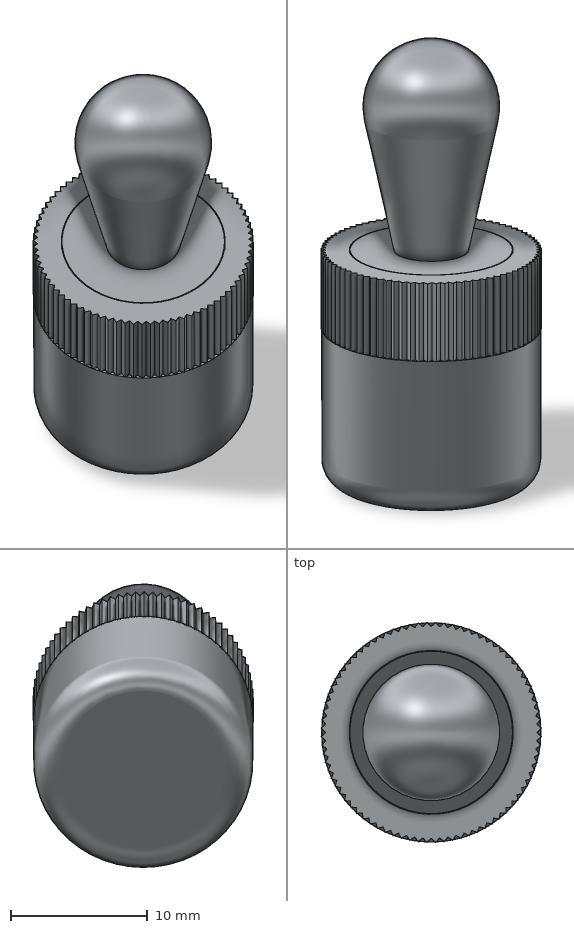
import cadquery as cq
import math

TOTAL_HEIGHT = 34.0

BODY_DIAMETER = 16.0
BODY_RADIUS = BODY_DIAMETER / 2
BODY_HEIGHT = 12.0
BOTTOM_ROUND = 2.0
KNURL_HEIGHT = 6.0
KNURL_RISE = 0.04
KNURL_CREST_RADIUS = BODY_RADIUS + KNURL_RISE
KNURL_DEPTH = 0.3
TOOTH_COUNT = 80
HOUSING_HEIGHT = BODY_HEIGHT + KNURL_HEIGHT

RECESS_RADIUS = 6.0

INSERT_CLEARANCE = 0.05
INSERT_RADIUS = RECESS_RADIUS - INSERT_CLEARANCE
INSERT_THICKNESS = 2.0
INSERT_BOTTOM = HOUSING_HEIGHT - INSERT_THICKNESS

BALL_RADIUS = 5.0
BALL_CENTRE_HEIGHT = TOTAL_HEIGHT - BALL_RADIUS
TANGENT_DROP = 1.05
TANGENT_HEIGHT = BALL_CENTRE_HEIGHT - TANGENT_DROP
TANGENT_RADIUS = math.sqrt(BALL_RADIUS**2 - TANGENT_DROP**2)
CONE_SLOPE = TANGENT_DROP / TANGENT_RADIUS
STEM_RADIUS = TANGENT_RADIUS - CONE_SLOPE * (TANGENT_HEIGHT - HOUSING_HEIGHT)


def polar_point(radius, angle):
    return (radius * math.cos(angle), radius * math.sin(angle))


def make_knurl_band():
    """Straight knurl of V teeth, with a valley on the X and Y axes."""
    tooth_angle = 2 * math.pi / TOOTH_COUNT
    valley_radius = KNURL_CREST_RADIUS - KNURL_DEPTH
    outline = []
    for tooth in range(TOOTH_COUNT):
        outline.append(polar_point(valley_radius, tooth * tooth_angle))
        outline.append(polar_point(KNURL_CREST_RADIUS, (tooth + 0.5) * tooth_angle))
    return (
        cq.Workplane("XY", origin=(0, 0, BODY_HEIGHT))
        .polyline(outline)
        .close()
        .extrude(KNURL_HEIGHT)
    )


def make_housing():
    """Round body with a rounded bottom edge, a knurled band and a recess for the insert."""
    body = (
        cq.Workplane("XY")
        .circle(BODY_RADIUS)
        .extrude(BODY_HEIGHT)
        .faces("<Z")
        .edges()
        .fillet(BOTTOM_ROUND)
    )
    recess = (
        cq.Workplane("XY", origin=(0, 0, INSERT_BOTTOM))
        .circle(RECESS_RADIUS)
        .extrude(INSERT_THICKNESS)
    )
    return body.union(make_knurl_band()).cut(recess)


def make_insert():
    """Flat ring in the recess, fitted around the lever stem."""
    return (
        cq.Workplane("XY", origin=(0, 0, INSERT_BOTTOM))
        .circle(INSERT_RADIUS)
        .circle(STEM_RADIUS)
        .extrude(INSERT_THICKNESS)
    )


def make_lever():
    """Revolved lever: straight stem in the insert, tapered neck and ball end."""
    equator = (BALL_RADIUS, BALL_CENTRE_HEIGHT)
    return (
        cq.Workplane("XZ")
        .moveTo(0, INSERT_BOTTOM)
        .lineTo(STEM_RADIUS, INSERT_BOTTOM)
        .lineTo(STEM_RADIUS, HOUSING_HEIGHT)
        .lineTo(TANGENT_RADIUS, TANGENT_HEIGHT)
        .threePointArc(equator, (0, TOTAL_HEIGHT))
        .close()
        .revolve(360, (0, 0, 0), (0, 1, 0))
    )


housing = make_housing()
insert = make_insert()
lever = make_lever()

result = cq.Compound.makeCompound([housing.val(), insert.val(), lever.val()])